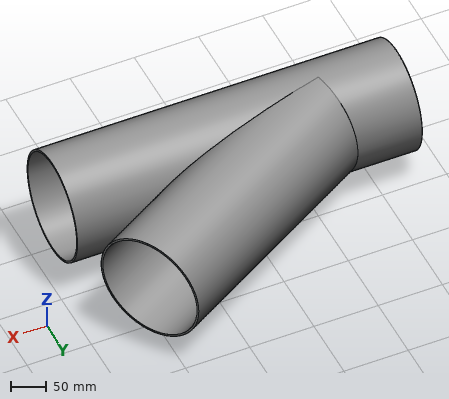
import cadquery as cq
import math

outer_diameter = 168.3
wall_thickness = 3.0
branch_angle = 30.0
overall_length = 537.0
outlet_length = 414.05

outer_radius = outer_diameter / 2
bore_radius = outer_radius - wall_thickness
inlet_length = overall_length - outlet_length
mitre_angle = branch_angle / 2
branch_overrun = outer_diameter
trim_size = 4 * outlet_length

run_direction = cq.Vector(1, 0, 0)
branch_direction = cq.Vector(
    math.cos(math.radians(branch_angle)),
    math.sin(math.radians(branch_angle)),
    0,
)


def run_cylinder(radius):
    """Straight cylinder along the full length of the run."""
    start = run_direction * -inlet_length
    return cq.Workplane(cq.Solid.makeCylinder(radius, overall_length, start, run_direction))


def branch_cylinder(radius):
    """Branch cylinder trimmed on the plane that bisects the angle between branch and inlet."""
    start = branch_direction * -branch_overrun
    length = outlet_length + branch_overrun
    cylinder = cq.Solid.makeCylinder(radius, length, start, branch_direction)
    mitre_side = (
        cq.Workplane("XY")
        .box(trim_size, trim_size, trim_size, centered=(False, True, True))
        .rotate((0, 0, 0), (0, 0, 1), mitre_angle)
    )
    return cq.Workplane(cylinder).intersect(mitre_side)


outside = run_cylinder(outer_radius).union(branch_cylinder(outer_radius))
result = outside.cut(run_cylinder(bore_radius)).cut(branch_cylinder(bore_radius))